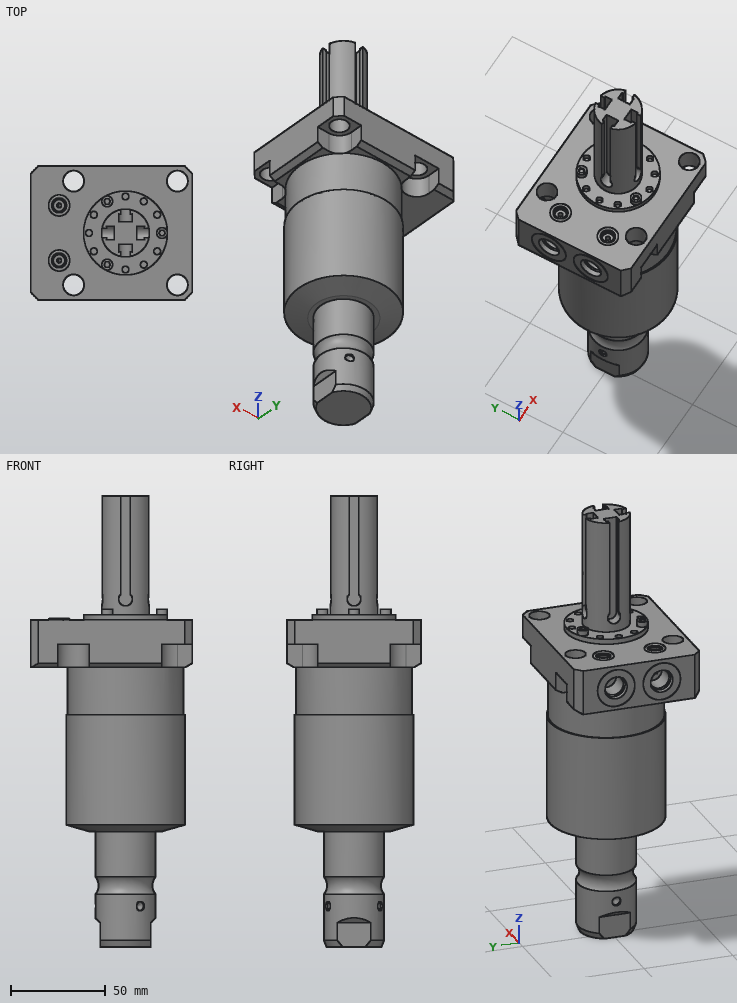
import cadquery as cq
import math

TOTAL_HEIGHT = 238.5
STEM_RADIUS = 16.0
STEM_CHAMFER_WIDTH = 1.5
STEM_CHAMFER_HEIGHT = 3.5
GROOVE_BOTTOM_Z = 28.0
GROOVE_TOP_Z = 37.2
GROOVE_DEPTH = 1.7
CONE_BOTTOM_Z = 61.0
CONE_TOP_Z = 64.6
CONE_SMALL_RADIUS = 19.0
BARREL_RADIUS = 31.5
BARREL_TOP_Z = 122.8
NECK_RADIUS = 30.8
SHAFT_RADIUS = 12.6

FLAT_DISTANCE = 13.4
FLAT_HEIGHT = 12.9
RADIAL_HOLE_COUNT = 3
RADIAL_HOLE_START_ANGLE = 180
RADIAL_HOLE_Z = 21.7
RADIAL_HOLE_RADIUS = 2.5
RADIAL_HOLE_DEPTH = 1.2
RADIAL_HOLE_TIP_LENGTH = 1.5

PLATE_LENGTH = 85.5
PLATE_WIDTH = 70.8
PLATE_BOTTOM_Z = 147.9
PLATE_THICKNESS = 25.0
PLATE_TOP_Z = PLATE_BOTTOM_Z + PLATE_THICKNESS
PLATE_MAX_X = 35.3
PLATE_MIN_X = PLATE_MAX_X - PLATE_LENGTH
CORNER_CHAMFER = 4.0
EDGE_CHAMFER_WIDTH = 3.5
EDGE_CHAMFER_HEIGHT = 2.1

BOLT_OFFSET = 27.5
BOLT_HOLE_RADIUS = 5.5
NOTCH_RADIUS = 8.3
NOTCH_HEIGHT = 12.2

FLANGE_RADIUS = 22.2
FLANGE_HEIGHT = 2.9
FLANGE_TOP_Z = PLATE_TOP_Z + FLANGE_HEIGHT
RING_RADIUS = 19.3
RING_COUNT = 12
SCREW_EVERY = 4
RING_HOLE_RADIUS = 1.8
SCREW_HEAD_RADIUS = 2.9
SCREW_HEAD_HEIGHT = 2.9
SOCKET_SIDES = 6
SOCKET_WIDTH = 3.3
SOCKET_DEPTH = 1.5

KEYWAY_COUNT = 4
KEYWAY_WIDTH = 5.2
UNDERCUT_OUTER_RADIUS = 10.0
KEYWAY_FLOOR = 6.0
KEYWAY_END_RADIUS = 3.5
KEYWAY_END_Z = 184.0

PORT_Y = 12.9
PORT_Z = 160.3
PORT_RADIUS = 5.5
PORT_DEPTH = 14.8
PORT_MOUTH_RADIUS = 6.2
PORT_MOUTH_DEPTH = 3.3
PORT_STEP = PORT_MOUTH_RADIUS - PORT_RADIUS
SPOTFACE_RADIUS = 10.5
SPOTFACE_DEPTH = 0.2
VALVE_X = -35.0
VALVE_Y = 14.5
SEAL_RADIUS = 4.8
SEAL_SECTION_RADIUS = 0.83
VALVE_RECESS_RADIUS = 3.8
VALVE_RECESS_DEPTH = 0.7
VALVE_SEAT_RADIUS = 3.0
VALVE_SEAT_DEPTH = 2.0
VALVE_BORE_RADIUS = 1.2
VALVE_BORE_BOTTOM_Z = 158.4


def cylinder_z(radius, bottom, top, x=0, y=0):
    return cq.Workplane("XY", origin=(x, y, bottom)).circle(radius).extrude(top - bottom)


def make_turned_body():
    groove_mid_z = (GROOVE_BOTTOM_Z + GROOVE_TOP_Z) / 2
    return (
        cq.Workplane("XZ")
        .moveTo(0, 0)
        .lineTo(STEM_RADIUS - STEM_CHAMFER_WIDTH, 0)
        .lineTo(STEM_RADIUS, STEM_CHAMFER_HEIGHT)
        .lineTo(STEM_RADIUS, GROOVE_BOTTOM_Z)
        .threePointArc((STEM_RADIUS - GROOVE_DEPTH, groove_mid_z), (STEM_RADIUS, GROOVE_TOP_Z))
        .lineTo(STEM_RADIUS, CONE_BOTTOM_Z)
        .lineTo(CONE_SMALL_RADIUS, CONE_BOTTOM_Z)
        .lineTo(BARREL_RADIUS, CONE_TOP_Z)
        .lineTo(BARREL_RADIUS, BARREL_TOP_Z)
        .lineTo(NECK_RADIUS, BARREL_TOP_Z)
        .lineTo(NECK_RADIUS, PLATE_BOTTOM_Z)
        .lineTo(FLANGE_RADIUS, PLATE_BOTTOM_Z)
        .lineTo(FLANGE_RADIUS, FLANGE_TOP_Z)
        .lineTo(SHAFT_RADIUS, FLANGE_TOP_Z)
        .lineTo(SHAFT_RADIUS, TOTAL_HEIGHT)
        .lineTo(0, TOTAL_HEIGHT)
        .close()
        .revolve(360, (0, 0, 0), (0, 1, 0))
    )


def make_wrench_flat(side):
    """Cutter for one flat; its upper end runs out at 45 degrees."""
    reach = 2 * STEM_RADIUS - FLAT_DISTANCE
    return (
        cq.Workplane("XZ", origin=(0, STEM_RADIUS, 0))
        .moveTo(side * FLAT_DISTANCE, 0)
        .lineTo(side * FLAT_DISTANCE, FLAT_HEIGHT)
        .lineTo(side * (FLAT_DISTANCE + reach), FLAT_HEIGHT + reach)
        .lineTo(side * (FLAT_DISTANCE + reach), 0)
        .close()
        .extrude(2 * STEM_RADIUS)
    )


def make_radial_hole(angle):
    """Blind hole with a drill-point floor, pointing at the axis of the stem."""
    floor_x = STEM_RADIUS - RADIAL_HOLE_DEPTH
    return (
        cq.Workplane("XY")
        .moveTo(STEM_RADIUS + RADIAL_HOLE_RADIUS, 0)
        .lineTo(STEM_RADIUS + RADIAL_HOLE_RADIUS, RADIAL_HOLE_RADIUS)
        .lineTo(floor_x, RADIAL_HOLE_RADIUS)
        .lineTo(floor_x - RADIAL_HOLE_TIP_LENGTH, 0)
        .close()
        .revolve(360, (0, 0, 0), (1, 0, 0))
        .translate((0, 0, RADIAL_HOLE_Z))
        .rotate((0, 0, 0), (0, 0, 1), angle)
    )


def make_edge_chamfer_side():
    """Cutter for the bottom edge of the plate on the +Y side."""
    edge_y = PLATE_WIDTH / 2
    return (
        cq.Workplane("YZ", origin=(PLATE_MIN_X, 0, 0))
        .moveTo(edge_y - EDGE_CHAMFER_WIDTH, PLATE_BOTTOM_Z)
        .lineTo(edge_y, PLATE_BOTTOM_Z + EDGE_CHAMFER_HEIGHT)
        .lineTo(edge_y, PLATE_BOTTOM_Z)
        .close()
        .extrude(PLATE_LENGTH)
    )


def make_edge_chamfer_end():
    """Cutter for the bottom edge of the plate on the +X side."""
    return (
        cq.Workplane("XZ", origin=(0, PLATE_WIDTH / 2, 0))
        .moveTo(PLATE_MAX_X - EDGE_CHAMFER_WIDTH, PLATE_BOTTOM_Z)
        .lineTo(PLATE_MAX_X, PLATE_BOTTOM_Z + EDGE_CHAMFER_HEIGHT)
        .lineTo(PLATE_MAX_X, PLATE_BOTTOM_Z)
        .close()
        .extrude(PLATE_WIDTH)
    )


def make_notch(x, y, open_to_end):
    """Round-ended notch around a bolt hole, open to the nearest side of the plate."""
    top = PLATE_BOTTOM_Z + NOTCH_HEIGHT
    outward = math.copysign(1, y)
    reach = PLATE_WIDTH / 2 - BOLT_OFFSET
    slot = cq.Workplane("XY").box(
        2 * NOTCH_RADIUS, reach, NOTCH_HEIGHT, centered=(True, True, False)
    ).translate((x, y + outward * reach / 2, PLATE_BOTTOM_Z))
    notch = cylinder_z(NOTCH_RADIUS, PLATE_BOTTOM_Z, top, x, y).union(slot)
    if open_to_end:
        depth_y = NOTCH_RADIUS + reach
        corner = cq.Workplane("XY").box(
            PLATE_MAX_X - x, depth_y, NOTCH_HEIGHT, centered=(False, True, False)
        ).translate((x, y + outward * (reach - NOTCH_RADIUS) / 2, PLATE_BOTTOM_Z))
        notch = notch.union(corner)
    return notch


def make_plate():
    plate = (
        cq.Workplane("XY", origin=((PLATE_MIN_X + PLATE_MAX_X) / 2, 0, PLATE_BOTTOM_Z))
        .rect(PLATE_LENGTH, PLATE_WIDTH)
        .extrude(PLATE_THICKNESS)
        .edges("|Z")
        .chamfer(CORNER_CHAMFER)
    )
    side_chamfer = make_edge_chamfer_side()
    plate = plate.cut(side_chamfer).cut(side_chamfer.mirror("XZ")).cut(make_edge_chamfer_end())
    for x in (-BOLT_OFFSET, BOLT_OFFSET):
        for y in (-BOLT_OFFSET, BOLT_OFFSET):
            plate = plate.cut(cylinder_z(BOLT_HOLE_RADIUS, PLATE_BOTTOM_Z, PLATE_TOP_Z, x, y))
            plate = plate.cut(make_notch(x, y, open_to_end=x > 0))
    return plate


def make_screw_head(x, y):
    return (
        cylinder_z(SCREW_HEAD_RADIUS, FLANGE_TOP_Z, FLANGE_TOP_Z + SCREW_HEAD_HEIGHT, x, y)
        .faces(">Z")
        .workplane()
        .polygon(SOCKET_SIDES, SOCKET_WIDTH)
        .cutBlind(-SOCKET_DEPTH)
    )


def make_keyway(angle):
    """T-shaped keyway, wider below its mouth, open at the top and round at its lower end."""

    def slot(width, outer_radius):
        return cq.Workplane("XY", origin=(KEYWAY_FLOOR, 0, KEYWAY_END_Z)).box(
            outer_radius - KEYWAY_FLOOR, width, TOTAL_HEIGHT - KEYWAY_END_Z, centered=(False, True, False)
        )

    mouth = slot(KEYWAY_WIDTH, SHAFT_RADIUS)
    undercut = slot(2 * KEYWAY_END_RADIUS, UNDERCUT_OUTER_RADIUS)
    end = (
        cq.Workplane("YZ", origin=(KEYWAY_FLOOR, 0, KEYWAY_END_Z))
        .circle(KEYWAY_END_RADIUS)
        .extrude(SHAFT_RADIUS - KEYWAY_FLOOR)
    )
    return mouth.union(undercut).union(end).rotate((0, 0, 0), (0, 0, 1), angle)


def make_port(y):
    """Blind port with a spotface and a wider mouth, entering from the -X end."""
    mouth_x = PLATE_MIN_X + SPOTFACE_DEPTH
    return (
        cq.Workplane("XY")
        .moveTo(PLATE_MIN_X, 0)
        .lineTo(PLATE_MIN_X, SPOTFACE_RADIUS)
        .lineTo(mouth_x, SPOTFACE_RADIUS)
        .lineTo(mouth_x, PORT_MOUTH_RADIUS)
        .lineTo(PLATE_MIN_X + PORT_MOUTH_DEPTH, PORT_MOUTH_RADIUS)
        .lineTo(PLATE_MIN_X + PORT_MOUTH_DEPTH + PORT_STEP, PORT_RADIUS)
        .lineTo(PLATE_MIN_X + PORT_DEPTH, PORT_RADIUS)
        .lineTo(PLATE_MIN_X + PORT_DEPTH, 0)
        .close()
        .revolve(360, (0, 0, 0), (1, 0, 0))
        .translate((0, y, PORT_Z))
    )


def make_seal_ring(y):
    """Seal ring half sunk into the top face of the plate."""
    return cq.Workplane("XY").add(
        cq.Solid.makeTorus(SEAL_RADIUS, SEAL_SECTION_RADIUS, cq.Vector(VALVE_X, y, PLATE_TOP_Z))
    )


def make_valve_bore(y):
    """Stepped bore that narrows downward and opens into the end of a port."""
    recess = cylinder_z(VALVE_RECESS_RADIUS, PLATE_TOP_Z - VALVE_RECESS_DEPTH, PLATE_TOP_Z, VALVE_X, y)
    seat = cylinder_z(VALVE_SEAT_RADIUS, PLATE_TOP_Z - VALVE_SEAT_DEPTH, PLATE_TOP_Z, VALVE_X, y)
    bore = cylinder_z(VALVE_BORE_RADIUS, VALVE_BORE_BOTTOM_Z, PLATE_TOP_Z, VALVE_X, y)
    return recess.union(seat).union(bore)


result = make_turned_body().union(make_plate())

for side in (-1, 1):
    result = result.cut(make_wrench_flat(side))
    result = result.union(make_seal_ring(side * VALVE_Y))
    result = result.cut(make_port(side * PORT_Y))
    result = result.cut(make_valve_bore(side * VALVE_Y))

for index in range(RADIAL_HOLE_COUNT):
    angle = RADIAL_HOLE_START_ANGLE + index * 360 / RADIAL_HOLE_COUNT
    result = result.cut(make_radial_hole(angle))

for index in range(KEYWAY_COUNT):
    result = result.cut(make_keyway(index * 360 / KEYWAY_COUNT))

for index in range(RING_COUNT):
    angle = index * 2 * math.pi / RING_COUNT
    x = RING_RADIUS * math.cos(angle)
    y = RING_RADIUS * math.sin(angle)
    if index % SCREW_EVERY == 0:
        result = result.union(make_screw_head(x, y))
    else:
        result = result.cut(cylinder_z(RING_HOLE_RADIUS, PLATE_TOP_Z, FLANGE_TOP_Z, x, y))